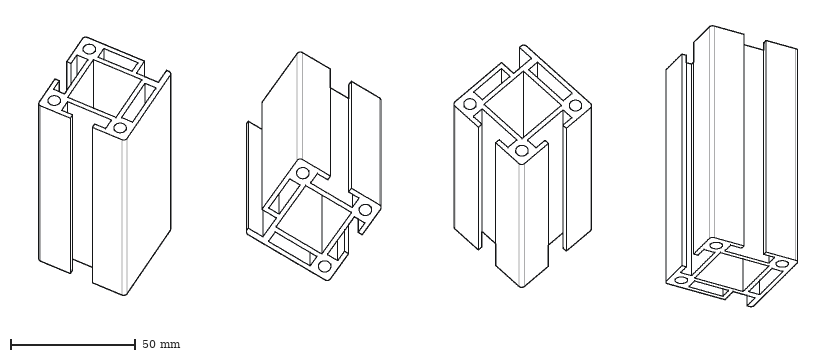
import cadquery as cq

side = 40.0
length = 100.0
corner_radius = 1.5
half_side = side / 2

skin = 2.0
channel_depth = 5.0
channel_length = 20.0
web = 2.0
slot_opening = 10.0
channel_floor = skin + channel_depth
core_size = side - 2 * (channel_floor + web)

bore_diameter = 5.0
bore_inset = 5.0

notch_width = 10.0
notch_edge_wall = 2.5
notch_right = half_side - notch_edge_wall
notch_left = notch_right - notch_width
closed_channel_right = notch_left - web


def through_box(x_min, x_max, y_min, y_max):
    """Rectangular prism running the full length of the extrusion."""
    return cq.Workplane("XY").box(
        x_max - x_min, y_max - y_min, length, centered=False
    ).translate((x_min, y_min, 0))


def closed_channel(left, right):
    """Enclosed channel behind the -Y face."""
    return through_box(left, right, skin - half_side, channel_floor - half_side)


def t_slot():
    """Channel behind the -Y face with a central opening through the skin."""
    opening = through_box(
        -slot_opening / 2, slot_opening / 2, -half_side, channel_floor - half_side
    )
    return closed_channel(-channel_length / 2, channel_length / 2).union(opening)


def turned(shape, angle):
    """Shape rotated about the extrusion axis."""
    return shape.rotate((0, 0, 0), (0, 0, 1), angle)


body = cq.Workplane("XY").box(side, side, length, centered=(True, True, False))
body = body.edges("|Z").fillet(corner_radius)

half_core = core_size / 2
body = body.cut(through_box(-half_core, half_core, -half_core, half_core))

body = body.cut(t_slot())
body = body.cut(turned(t_slot(), -90))

body = body.cut(turned(closed_channel(-channel_length / 2, channel_length / 2), 90))

body = body.cut(turned(closed_channel(-closed_channel_right, channel_length / 2), 180))

body = body.cut(through_box(notch_left, notch_right, half_side - channel_floor, half_side))

bore_offset = half_side - bore_inset
bore_centers = [
    (-bore_offset, bore_offset),
    (-bore_offset, -bore_offset),
    (bore_offset, -bore_offset),
]
bores = cq.Workplane("XY").pushPoints(bore_centers).circle(bore_diameter / 2).extrude(length)
result = body.cut(bores)